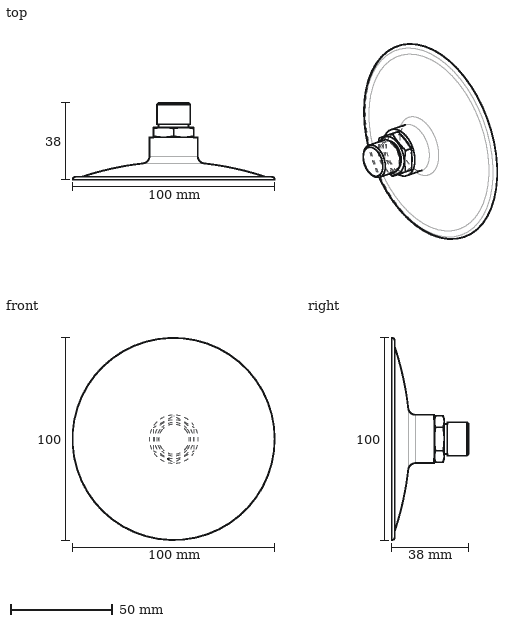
import cadquery as cq
import math


cup_diameter = 100.0
rim_thickness = 1.6
dome_outer_radius = 45.3
dome_mid_radius = 31.3
dome_mid_y = 5.5
dome_top_slope = 0.12

sleeve_diameter = 24.0
flare_top_y = 11.7
flare_radius = 3.5
sleeve_top_y = 21.0

hex_across_flats = 20.0
hex_blank_diameter = 23.3
hex_height = 5.0
hex_chamfer_width = 2.0
hex_chamfer_height = 0.7

total_length = 38.0
neck_diameter = 14.95
neck_length = 1.5
stud_diameter = 16.66
stud_chamfer = 0.9

hex_top_y = sleeve_top_y + hex_height
neck_top_y = hex_top_y + neck_length


def revolve_about_y(profile):
    """Revolve a closed half profile, drawn in XY, a full turn about the Y axis."""
    return profile.close().revolve(360, (0, 0, 0), (0, 1, 0))


def make_cup_and_sleeve():
    """Solid cup with a thin rounded rim, a shallow dome and a flare into the sleeve."""
    cup_radius = cup_diameter / 2
    sleeve_radius = sleeve_diameter / 2
    dome_inner_radius = sleeve_radius + flare_radius * (1 - math.sin(dome_top_slope))
    dome_top_y = flare_top_y - flare_radius * math.cos(dome_top_slope)
    profile = (
        cq.Workplane("XY")
        .lineTo(cup_radius, 0)
        .radiusArc((cup_radius - rim_thickness, rim_thickness), -rim_thickness)
        .lineTo(dome_outer_radius, rim_thickness)
        .threePointArc((dome_mid_radius, dome_mid_y), (dome_inner_radius, dome_top_y))
        .radiusArc((sleeve_radius, flare_top_y), flare_radius)
        .lineTo(sleeve_radius, sleeve_top_y)
        .lineTo(0, sleeve_top_y)
    )
    return revolve_about_y(profile)


def make_hex_nut():
    """Hexagon with its corners turned down to a cone at both ends."""
    blank_radius = hex_blank_diameter / 2
    end_radius = blank_radius - hex_chamfer_width
    hexagon = (
        cq.Workplane("XZ", origin=(0, sleeve_top_y, 0))
        .polygon(6, hex_across_flats, circumscribed=True)
        .extrude(-hex_height)
    )
    turned_blank = revolve_about_y(
        cq.Workplane("XY")
        .moveTo(0, sleeve_top_y)
        .lineTo(end_radius, sleeve_top_y)
        .lineTo(blank_radius, sleeve_top_y + hex_chamfer_height)
        .lineTo(blank_radius, hex_top_y - hex_chamfer_height)
        .lineTo(end_radius, hex_top_y)
        .lineTo(0, hex_top_y)
    )
    return hexagon.intersect(turned_blank)


def make_stud():
    """Neck and stud, with a chamfer on the free end."""
    neck_radius = neck_diameter / 2
    stud_radius = stud_diameter / 2
    profile = (
        cq.Workplane("XY")
        .moveTo(0, hex_top_y)
        .lineTo(neck_radius, hex_top_y)
        .lineTo(neck_radius, neck_top_y)
        .lineTo(stud_radius, neck_top_y)
        .lineTo(stud_radius, total_length - stud_chamfer)
        .lineTo(stud_radius - stud_chamfer, total_length)
        .lineTo(0, total_length)
    )
    return revolve_about_y(profile)


result = make_cup_and_sleeve().union(make_hex_nut()).union(make_stud())